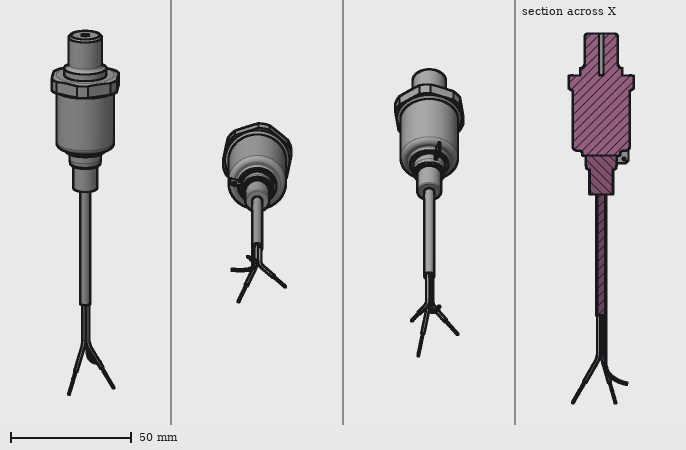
import cadquery as cq
import math


port_radius = 14.0 / 2
port_chamfer = 1.0
port_length = 12.6
bore_diameter = 3.3
neck_radius = 17.5 / 2
neck_fillet = neck_radius - port_radius
neck_height = 2.9
hex_across_flats = 27.09
hex_corner_radius = 29.0 / 2
hex_height = 5.6
hex_chamfer_drop = 0.5
hex_chamfer_radius = 24.0 / 2
barrel_radius = 24.0 / 2
shoulder_radius = 26.75 / 2
shoulder_height = 1.0
barrel_fillet = 2.3
collar_radius = 16.0 / 2
collar_fillet = 1.0
collar_chamfer = 0.4
collar_height = 2.0

neck_top_z = -(port_length + neck_fillet)
hex_top_z = neck_top_z - neck_height
hex_bottom_z = hex_top_z - hex_height
barrel_top_z = hex_bottom_z - shoulder_height
barrel_bottom_z = -48.7
collar_bottom_z = barrel_bottom_z - collar_height

tab_outer_y = 11.3
tab_thickness = 0.8
tab_bottom_z = -53.8
tab_corner_chamfer = 1.2
tab_hole_diameter = 1.0
tab_hole_y = 9.5
tab_hole_z = -52.0

gland_radius = 13.2 / 2
gland_straight_height = 3.1
gland_taper_radius = 12.7 / 2
gland_taper_height = 1.9
gland_chamfer = 0.7
sleeve_radius = 10.0 / 2
sleeve_length = 10.39
sleeve_edge_fillet = 0.5

gland_taper_z = collar_bottom_z - gland_straight_height
gland_bottom_z = gland_taper_z - gland_taper_height - gland_chamfer
sleeve_bottom_z = gland_bottom_z - sleeve_length

jacket_radius = 4.25 / 2
jacket_length = 50.0
wire_count = 3
wire_radius = 1.4 / 2
wire_pitch_radius = 1.1
wire_straight_length = 15.5
wire_bend_radius = 8.0
wire_spread_angle = 30.0
insulation_end_length = 9.42
conductor_radius = 0.75 / 2
conductor_length = 10.0
first_wire_angle = -90.0
drain_radius = 1.0 / 2
drain_y = jacket_radius - drain_radius
drain_straight_length = 20.0
drain_first_bend_radius = 7.0
drain_first_bend_angle = 53.0
drain_second_bend_radius = 14.7
drain_second_bend_angle = 27.0

jacket_bottom_z = sleeve_bottom_z - jacket_length
wire_bend_z = jacket_bottom_z - wire_straight_length


def make_turned_housing():
    """Port, neck, shoulder, barrel and collar as one turned profile."""
    fillet_diagonal = math.sqrt(0.5)
    barrel_fillet_inset = barrel_fillet * (1 - fillet_diagonal)
    return (
        cq.Workplane("XZ")
        .lineTo(port_radius - port_chamfer, 0)
        .lineTo(port_radius, -port_chamfer)
        .lineTo(port_radius, -port_length)
        .threePointArc(
            (
                neck_radius - neck_fillet * fillet_diagonal,
                neck_top_z + neck_fillet * (1 - fillet_diagonal),
            ),
            (neck_radius, neck_top_z),
        )
        .lineTo(neck_radius, hex_bottom_z)
        .lineTo(shoulder_radius, hex_bottom_z)
        .lineTo(barrel_radius, barrel_top_z)
        .lineTo(barrel_radius, barrel_bottom_z + barrel_fillet)
        .threePointArc(
            (barrel_radius - barrel_fillet_inset, barrel_bottom_z + barrel_fillet_inset),
            (barrel_radius - barrel_fillet, barrel_bottom_z),
        )
        .lineTo(collar_radius + collar_fillet, barrel_bottom_z)
        .threePointArc(
            (
                collar_radius + collar_fillet * (1 - fillet_diagonal),
                barrel_bottom_z - collar_fillet * (1 - fillet_diagonal),
            ),
            (collar_radius, barrel_bottom_z - collar_fillet),
        )
        .lineTo(collar_radius, collar_bottom_z + collar_chamfer)
        .lineTo(collar_radius - collar_chamfer, collar_bottom_z)
        .lineTo(0, collar_bottom_z)
        .close()
        .revolve(360, (0, 0), (0, 1))
    )


def make_hexagon():
    """Hexagon with corners turned round and a shallow cone on its top face."""
    across_corners = hex_across_flats / math.cos(math.pi / 6)
    prism = cq.Workplane("XY").workplane(offset=hex_bottom_z).polygon(6, across_corners).extrude(hex_height)
    turned_blank = (
        cq.Workplane("XZ")
        .moveTo(0, hex_bottom_z)
        .lineTo(hex_corner_radius, hex_bottom_z)
        .lineTo(hex_corner_radius, hex_top_z - hex_chamfer_drop)
        .lineTo(hex_chamfer_radius, hex_top_z)
        .lineTo(0, hex_top_z)
        .close()
        .revolve(360, (0, 0), (0, 1))
    )
    return prism.intersect(turned_blank)


def make_tab():
    """Flat earth tab with one bevelled corner and a hole, reaching up into the barrel."""
    tab_top_z = barrel_bottom_z + barrel_fillet
    plate = (
        cq.Workplane("YZ")
        .moveTo(0, tab_top_z)
        .lineTo(tab_outer_y, tab_top_z)
        .lineTo(tab_outer_y, tab_bottom_z + tab_corner_chamfer)
        .lineTo(tab_outer_y - tab_corner_chamfer, tab_bottom_z)
        .lineTo(0, tab_bottom_z)
        .close()
        .extrude(tab_thickness / 2, both=True)
    )
    hole = (
        cq.Workplane("YZ")
        .center(tab_hole_y, tab_hole_z)
        .circle(tab_hole_diameter / 2)
        .extrude(tab_thickness, both=True)
    )
    return plate.cut(hole)


def make_gland():
    """Stepped cable gland with a long sleeve below."""
    return (
        cq.Workplane("XZ")
        .moveTo(0, collar_bottom_z)
        .lineTo(gland_radius, collar_bottom_z)
        .lineTo(gland_radius, gland_taper_z)
        .lineTo(gland_taper_radius, gland_bottom_z + gland_chamfer)
        .lineTo(gland_taper_radius - gland_chamfer, gland_bottom_z)
        .lineTo(sleeve_radius, gland_bottom_z)
        .lineTo(sleeve_radius, sleeve_bottom_z)
        .lineTo(0, sleeve_bottom_z)
        .close()
        .revolve(360, (0, 0), (0, 1))
        .faces("<Z")
        .edges()
        .fillet(sleeve_edge_fillet)
    )


def make_housing(gland):
    """Turned housing with its hexagon, tab and pressure bore, cleared around the gland."""
    bore = cq.Workplane("XY").circle(bore_diameter / 2).extrude(hex_top_z)
    return make_turned_housing().union(make_hexagon()).cut(bore).union(make_tab().cut(gland))


def make_jacket():
    """Round cable jacket hanging from the sleeve."""
    return (
        cq.Workplane("XY").workplane(offset=jacket_bottom_z).circle(jacket_radius).extrude(jacket_length)
    )


def bend_point(start, radius, start_angle, turn_angle):
    """Point reached in YZ after a bend towards +Y; angles are measured from straight down."""
    start_turn = math.radians(start_angle)
    end_turn = math.radians(start_angle + turn_angle)
    return (
        start[0] + radius * (math.cos(start_turn) - math.cos(end_turn)),
        start[1] - radius * (math.sin(end_turn) - math.sin(start_turn)),
    )


def make_wire(direction_angle):
    """Insulated wire that bends outward, with a bare conductor at its end."""
    spread = math.radians(wire_spread_angle)
    bend_start = (wire_pitch_radius, wire_bend_z)
    bend_middle = bend_point(bend_start, wire_bend_radius, 0, wire_spread_angle / 2)
    bend_end = bend_point(bend_start, wire_bend_radius, 0, wire_spread_angle)
    insulation_end = (
        bend_end[0] + insulation_end_length * math.sin(spread),
        bend_end[1] - insulation_end_length * math.cos(spread),
    )
    path = (
        cq.Workplane("YZ")
        .moveTo(wire_pitch_radius, jacket_bottom_z)
        .lineTo(*bend_start)
        .threePointArc(bend_middle, bend_end)
        .lineTo(*insulation_end)
    )
    insulation = (
        cq.Workplane("XY", origin=(0, wire_pitch_radius, jacket_bottom_z)).circle(wire_radius).sweep(path)
    )
    conductor = cq.Workplane(
        cq.Solid.makeCylinder(
            conductor_radius,
            conductor_length,
            cq.Vector(0, *insulation_end),
            cq.Vector(0, math.sin(spread), -math.cos(spread)),
        )
    )
    return insulation.union(conductor).rotate((0, 0, 0), (0, 0, 1), direction_angle - 90)


def make_drain():
    """Bare drain wire that curls outward to the +Y side in two tangent bends."""
    first_start = (drain_y, jacket_bottom_z - drain_straight_length)
    first_middle = bend_point(first_start, drain_first_bend_radius, 0, drain_first_bend_angle / 2)
    first_end = bend_point(first_start, drain_first_bend_radius, 0, drain_first_bend_angle)
    second_bend = (first_end, drain_second_bend_radius, drain_first_bend_angle)
    second_middle = bend_point(*second_bend, drain_second_bend_angle / 2)
    second_end = bend_point(*second_bend, drain_second_bend_angle)
    path = (
        cq.Workplane("YZ")
        .moveTo(drain_y, jacket_bottom_z)
        .lineTo(*first_start)
        .threePointArc(first_middle, first_end)
        .threePointArc(second_middle, second_end)
    )
    return cq.Workplane("XY", origin=(0, drain_y, jacket_bottom_z)).circle(drain_radius).sweep(path)


gland = make_gland()
housing = make_housing(gland)
jacket = make_jacket()
wires = [make_wire(first_wire_angle + i * 360 / wire_count) for i in range(wire_count)]
drain = make_drain()

result = cq.Compound.makeCompound(
    [housing.val(), gland.val(), jacket.val(), *[wire.val() for wire in wires], drain.val()]
)